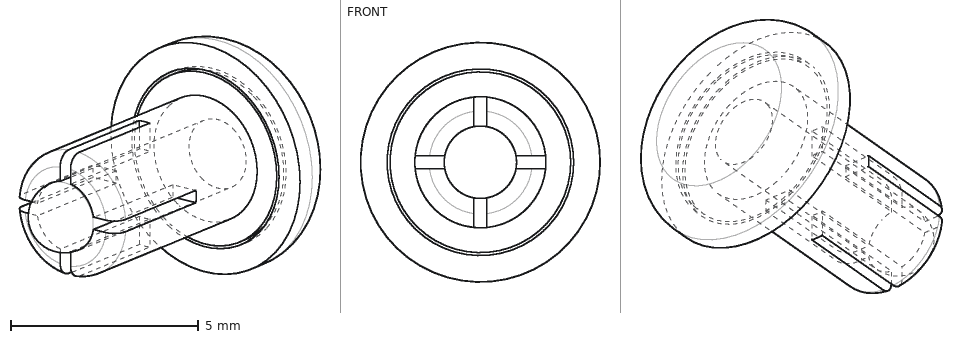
import cadquery as cq

total_length = 8.71
head_diameter = 6.4
head_thickness = 1.6
dome_radius = 1.08

pin_diameter = 1.93
tip_projection = 1.01

recess_diameter = 4.98
recess_depth = 0.52
recess_corner_radius = 0.35

shank_diameter = 3.5
shank_end_fillet = 0.375
flange_clearance = 0.08
slot_width = 0.35
slot_length = 3.44
slot_count = 4

head_radius = head_diameter / 2
pin_radius = pin_diameter / 2
shank_radius = shank_diameter / 2
recess_radius = recess_diameter / 2
flange_radius = recess_radius - flange_clearance
diagonal = 0.5 ** 0.5
tip_y = head_thickness - total_length
sleeve_end_y = tip_y + tip_projection


def revolve_about_y(profile):
    """Turn a closed profile drawn in (radius, y) into a solid of revolution."""
    return profile.close().revolve(360, (0, 0, 0), (0, 1, 0))


def corner_midpoint(outer_radius, top_y, corner_radius):
    """Middle of the arc that rounds the corner at (outer_radius, top_y)."""
    inset = corner_radius * (1 - diagonal)
    return outer_radius - inset, top_y - inset


def make_plunger():
    """Domed head with a recessed underside, and a central pin with a hemispherical tip."""
    dome_edge_y = head_thickness - dome_radius
    dome_flat_radius = head_radius - dome_radius
    profile = (
        cq.Workplane("XY")
        .moveTo(0, tip_y)
        .threePointArc(
            (pin_radius * diagonal, tip_y + pin_radius * (1 - diagonal)),
            (pin_radius, tip_y + pin_radius),
        )
        .lineTo(pin_radius, recess_depth)
        .lineTo(recess_radius - recess_corner_radius, recess_depth)
        .threePointArc(
            corner_midpoint(recess_radius, recess_depth, recess_corner_radius),
            (recess_radius, recess_depth - recess_corner_radius),
        )
        .lineTo(recess_radius, 0)
        .lineTo(head_radius, 0)
        .lineTo(head_radius, dome_edge_y)
        .threePointArc(
            corner_midpoint(head_radius, head_thickness, dome_radius),
            (dome_flat_radius, head_thickness),
        )
        .lineTo(0, head_thickness)
    )
    return revolve_about_y(profile)


def make_sleeve_blank():
    """Flange and shank, bored for the pin and rounded at the free end."""
    profile = (
        cq.Workplane("XY")
        .moveTo(pin_radius, sleeve_end_y)
        .lineTo(shank_radius - shank_end_fillet, sleeve_end_y)
        .threePointArc(
            (
                shank_radius - shank_end_fillet * (1 - diagonal),
                sleeve_end_y + shank_end_fillet * (1 - diagonal),
            ),
            (shank_radius, sleeve_end_y + shank_end_fillet),
        )
        .lineTo(shank_radius, 0)
        .lineTo(flange_radius, 0)
        .lineTo(flange_radius, recess_depth - recess_corner_radius)
        .threePointArc(
            corner_midpoint(flange_radius, recess_depth, recess_corner_radius),
            (flange_radius - recess_corner_radius, recess_depth),
        )
        .lineTo(pin_radius, recess_depth)
    )
    return revolve_about_y(profile)


def make_slot(angle):
    """Radial cutter from the axis outward, open at the free end of the shank."""
    return (
        cq.Workplane("XY")
        .box(shank_diameter, slot_length, slot_width, centered=(False, False, True))
        .translate((0, sleeve_end_y, 0))
        .rotate((0, 0, 0), (0, 1, 0), angle)
    )


def make_sleeve():
    """Sleeve whose free end is split into equal fingers."""
    sleeve = make_sleeve_blank()
    for index in range(slot_count):
        sleeve = sleeve.cut(make_slot(index * 360 / slot_count))
    return sleeve


plunger = make_plunger()
sleeve = make_sleeve()

result = cq.Compound.makeCompound([plunger.val(), sleeve.val()])